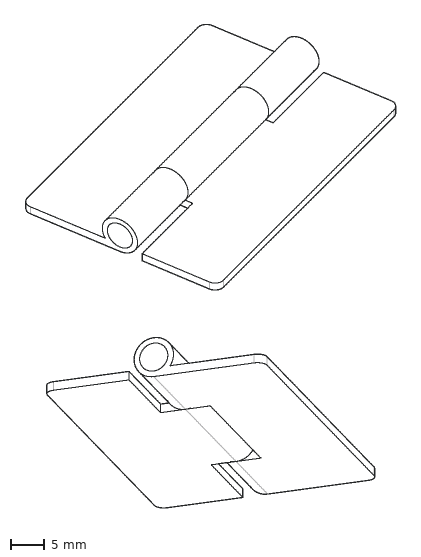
import cadquery as cq
import math

HINGE_WIDTH = 35.0
HINGE_LENGTH = 50.0
LEAF_THICKNESS = 1.4
CORNER_RADIUS = 1.5

BARREL_DIAMETER = 6.3
BARREL_RADIUS = BARREL_DIAMETER / 2
AXIS_HEIGHT = BARREL_RADIUS
MIDDLE_KNUCKLE_LENGTH = 22.2
END_KNUCKLE_LENGTH = (HINGE_LENGTH - MIDDLE_KNUCKLE_LENGTH) / 2
KNUCKLE_CLEARANCE = 0.8

PIN_DIAMETER = 4.5
PIN_RADIUS = PIN_DIAMETER / 2
DOME_HEIGHT = 0.8

MIDDLE_KNUCKLES = [(-MIDDLE_KNUCKLE_LENGTH / 2, MIDDLE_KNUCKLE_LENGTH)]
END_KNUCKLES = [
    (-HINGE_LENGTH / 2, END_KNUCKLE_LENGTH),
    (MIDDLE_KNUCKLE_LENGTH / 2, END_KNUCKLE_LENGTH),
]


def axis_cylinder(radius, start, length):
    """Cylinder on the hinge axis, running toward +Y from start."""
    base = cq.Plane(origin=(0, start, AXIS_HEIGHT), xDir=(1, 0, 0), normal=(0, 1, 0))
    return cq.Workplane(base).circle(radius).extrude(length)


def leaf_block(side, inner, outer, start, length):
    """Flat block between two distances from the hinge axis; side is -1 or +1 along X."""
    middle = side * (inner + outer) / 2
    return (
        cq.Workplane("XY")
        .box(outer - inner, length, LEAF_THICKNESS, centered=(True, True, False))
        .translate((middle, start + length / 2, 0))
    )


def make_leaf(side, knuckles):
    """Plate with rounded outer corners, joined to its bored knuckles."""
    outer_edge = "<X" if side < 0 else ">X"
    plate_inner = BARREL_RADIUS + KNUCKLE_CLEARANCE
    leaf = (
        leaf_block(side, plate_inner, HINGE_WIDTH / 2, -HINGE_LENGTH / 2, HINGE_LENGTH)
        .faces(outer_edge)
        .edges("|Z")
        .fillet(CORNER_RADIUS)
    )
    for start, length in knuckles:
        leaf = leaf.union(leaf_block(side, 0, plate_inner, start, length))
        leaf = leaf.union(axis_cylinder(BARREL_RADIUS, start, length))
    return leaf.cut(axis_cylinder(PIN_RADIUS, -HINGE_LENGTH / 2, HINGE_LENGTH))


def make_pin():
    """Round pin with a shallow spherical dome at each end, turned about the hinge axis."""
    dome_radius = (PIN_RADIUS**2 + DOME_HEIGHT**2) / (2 * DOME_HEIGHT)
    shank_end = HINGE_LENGTH / 2
    tip = shank_end + DOME_HEIGHT
    dome_x = PIN_RADIUS / 2
    dome_y = tip - dome_radius + math.sqrt(dome_radius**2 - dome_x**2)
    return (
        cq.Workplane("XY", origin=(0, 0, AXIS_HEIGHT))
        .moveTo(0, -tip)
        .threePointArc((dome_x, -dome_y), (PIN_RADIUS, -shank_end))
        .lineTo(PIN_RADIUS, shank_end)
        .threePointArc((dome_x, dome_y), (0, tip))
        .close()
        .revolve(360, (0, 0, 0), (0, 1, 0))
    )


left_leaf = make_leaf(-1, END_KNUCKLES)
right_leaf = make_leaf(1, MIDDLE_KNUCKLES)
pin = make_pin()

result = cq.Compound.makeCompound([
    left_leaf.solids().val(),
    right_leaf.solids().val(),
    pin.val(),
])